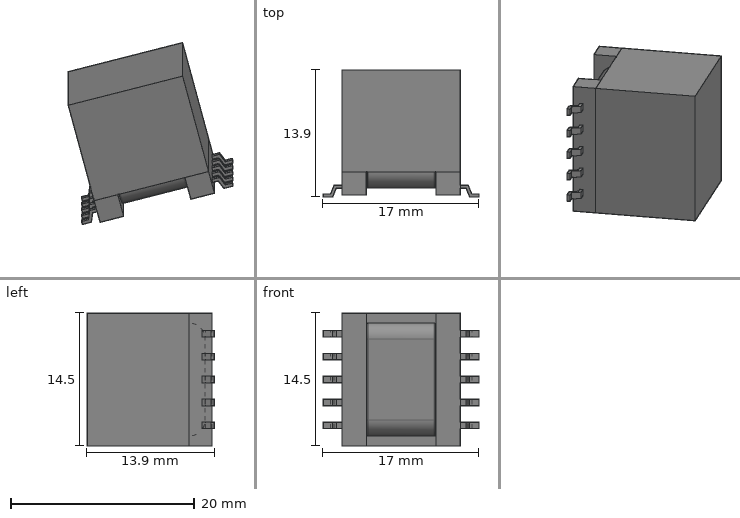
import cadquery as cq
import math


core_width = 12.9
core_depth = 11.12
core_height = 14.5
winding_height = 12.32
winding_projection = 1.77
winding_end_radius = 0.14
winding_end_gap = 0.07
winding_root = 0.85

rail_width = 2.67
rail_depth = 2.53

pin_span = 17.0
pin_count = 5
pin_pitch = 2.5
pin_height = 0.73
pin_thickness = 0.35
foot_length = 1.04
bend_run = 0.39
bend_step = 0.97
foot_overhang = 0.22

winding_length = core_width - 2 * (rail_width + winding_end_gap)
rail_outer_x = core_width / 2
pin_tip_x = pin_span / 2
foot_front_y = -rail_depth - foot_overhang


def make_winding():
    """Winding lying between the rails, rounded along its front corners and around both ends."""
    block = cq.Workplane("XY").box(
        winding_length, winding_projection + winding_root, winding_height, centered=(True, False, True)
    )
    block = block.translate((0, -winding_projection, 0))
    rounded = block.faces("<Y").edges("|X").fillet(winding_projection)
    return rounded.faces("<X or >X").edges().fillet(winding_end_radius)


def make_wound_core():
    """Core block and the winding that bulges out of its front, as one solid."""
    core = cq.Workplane("XY").box(core_width, core_depth, core_height, centered=(True, False, True))
    return core.union(make_winding())


def make_pin(center_z):
    """One Z-bent strip of constant thickness on the +X side, starting at the rail face."""
    bend_angle = math.atan2(bend_step, bend_run)
    corner_shift = pin_thickness * math.tan(bend_angle / 2)
    foot_bend_x = pin_tip_x - foot_length
    shoulder_bend_x = foot_bend_x - bend_run
    shoulder_front_y = foot_front_y + bend_step
    outline = [
        (pin_tip_x, foot_front_y),
        (foot_bend_x, foot_front_y),
        (shoulder_bend_x, shoulder_front_y),
        (rail_outer_x, shoulder_front_y),
        (rail_outer_x, shoulder_front_y + pin_thickness),
        (shoulder_bend_x + corner_shift, shoulder_front_y + pin_thickness),
        (foot_bend_x + corner_shift, foot_front_y + pin_thickness),
        (pin_tip_x, foot_front_y + pin_thickness),
    ]
    strip = cq.Workplane("XY").polyline(outline).close().extrude(pin_height)
    return strip.translate((0, 0, center_z - pin_height / 2))


def make_terminal_rail(side):
    """Full-height rail with its row of pins; side 1 puts it on +X, side -1 mirrors it to -X."""
    rail = cq.Workplane("XY").box(rail_width, rail_depth, core_height)
    rail = rail.translate((rail_outer_x - rail_width / 2, -rail_depth / 2, 0))
    for index in range(pin_count):
        rail = rail.union(make_pin((index - (pin_count - 1) / 2) * pin_pitch))
    if side < 0:
        rail = rail.mirror("YZ")
    return rail


wound_core = make_wound_core()
terminal_rails = [make_terminal_rail(side) for side in (-1, 1)]

result = cq.Compound.makeCompound([wound_core.val(), *[rail.val() for rail in terminal_rails]])